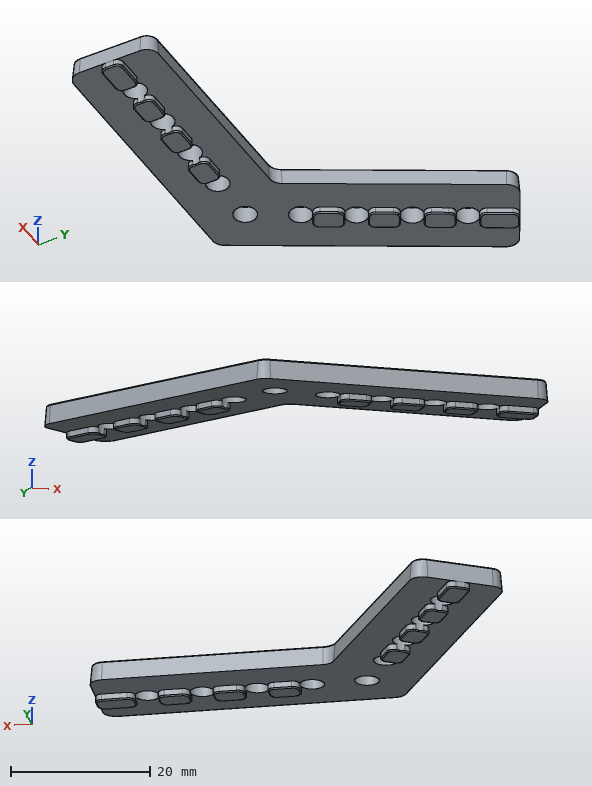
import cadquery as cq
import math

OVERALL_LENGTH = 64.6
ARM_ANGLE = 120.0
ARM_WIDTH = 14.0
PLATE_THICKNESS = 3.0
CORNER_RADIUS = 2.0
PLATE_DRAFT = 5.0
TOP_CHAMFER = 0.2

HOLE_PITCH = 8.0
HOLES_PER_ARM = 4
HOLE_DIAMETER = 3.9
HOLE_DRAFT = 3.0

PAD_HEIGHT = 1.05
PAD_WIDTH = 3.4
PAD_CORNER_RADIUS = 1.05
PAD_CHAMFER = 0.2
PAD_HOLE_DISTANCE = 1.7

ARM_DIRECTIONS = (0.0, ARM_ANGLE)
HALF_WIDTH = ARM_WIDTH / 2

ANGLE_COS = math.cos(math.radians(ARM_ANGLE))
ANGLE_SIN = math.sin(math.radians(ARM_ANGLE))
CORNER_REACH = CORNER_RADIUS * (1 + ANGLE_COS) + (HALF_WIDTH - CORNER_RADIUS) * ANGLE_SIN
ARM_LENGTH = (OVERALL_LENGTH - CORNER_REACH) / (1 - ANGLE_COS)


def along_arm(angle, distance, offset=0.0):
    """Point at a distance along an arm and an offset to the left of its centre line."""
    turn = math.radians(angle)
    return (
        distance * math.cos(turn) - offset * math.sin(turn),
        distance * math.sin(turn) + offset * math.cos(turn),
    )


def make_plate():
    """Drafted plate with rounded corners and a chamfered top edge."""
    bend_shift = HALF_WIDTH / math.tan(math.radians(ARM_ANGLE / 2))
    corners = [
        along_arm(0, -bend_shift, -HALF_WIDTH),
        along_arm(0, ARM_LENGTH, -HALF_WIDTH),
        along_arm(0, ARM_LENGTH, HALF_WIDTH),
        along_arm(0, bend_shift, HALF_WIDTH),
        along_arm(ARM_ANGLE, ARM_LENGTH, -HALF_WIDTH),
        along_arm(ARM_ANGLE, ARM_LENGTH, HALF_WIDTH),
    ]
    blank = cq.Workplane("XY").polyline(corners).close().extrude(PLATE_THICKNESS)
    outline = blank.edges("|Z").fillet(CORNER_RADIUS).faces("<Z").wires()
    plate = outline.toPending().extrude(PLATE_THICKNESS, taper=PLATE_DRAFT, combine=False)
    return plate.faces(">Z").chamfer(TOP_CHAMFER)


def make_pad(angle, start, end):
    """Rounded pad on an arm's centre line, hanging below the plate."""
    centre = along_arm(angle, (start + end) / 2)
    return (
        cq.Workplane("XY")
        .rect(end - start, PAD_WIDTH)
        .extrude(-PAD_HEIGHT)
        .edges("|Z")
        .fillet(PAD_CORNER_RADIUS)
        .faces("<Z")
        .chamfer(PAD_CHAMFER)
        .rotate((0, 0, 0), (0, 0, 1), angle)
        .translate((*centre, 0))
    )


def add_pads(body):
    """Add a pad beyond every hole but the corner one; the last pad runs to the arm end."""
    for angle in ARM_DIRECTIONS:
        for hole in range(1, HOLES_PER_ARM + 1):
            start = hole * HOLE_PITCH + PAD_HOLE_DISTANCE
            end = (hole + 1) * HOLE_PITCH - PAD_HOLE_DISTANCE
            if hole == HOLES_PER_ARM:
                end = ARM_LENGTH
            body = body.union(make_pad(angle, start, end))
    return body


def cut_holes(body):
    """Tapered through holes, which also trim the pad ends beside them."""
    centres = [(0, 0)]
    for angle in ARM_DIRECTIONS:
        for hole in range(1, HOLES_PER_ARM + 1):
            centres.append(along_arm(angle, hole * HOLE_PITCH))
    top = cq.Workplane("XY").workplane(offset=PLATE_THICKNESS).pushPoints(centres)
    depth = PLATE_THICKNESS + PAD_HEIGHT
    holes = top.circle(HOLE_DIAMETER / 2).extrude(-depth, taper=HOLE_DRAFT)
    return body.cut(holes)


result = cut_holes(add_pads(make_plate()))